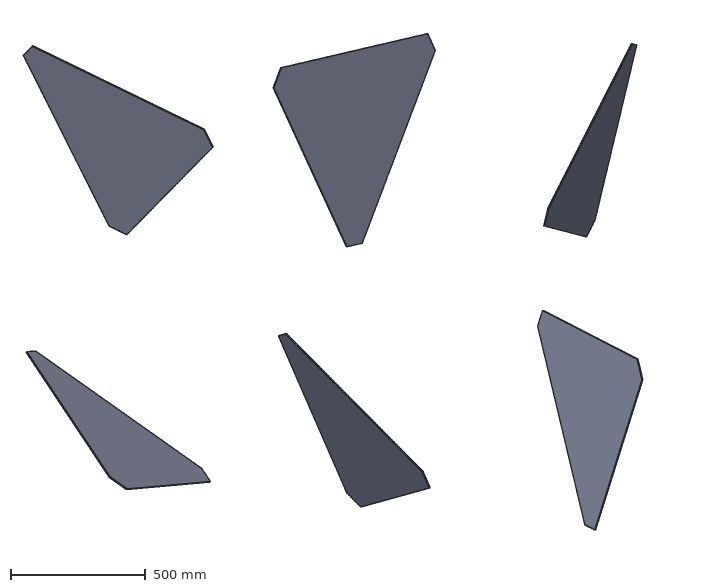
import cadquery as cq
import math

width = 854.0
corner_cut = 80.0
thickness = 5.0

long_side = width - corner_cut
slope = math.sqrt(3)
height = width * slope / 2
top = height / 2
shoulder = top - corner_cut * slope / 2

right_half = [
    (corner_cut / 2, -top),
    (width / 2, shoulder),
    (long_side / 2, top),
]
left_half = [(-x, z) for x, z in reversed(right_half)]

result = (
    cq.Workplane("XZ")
    .polyline(right_half + left_half)
    .close()
    .extrude(thickness / 2, both=True)
)